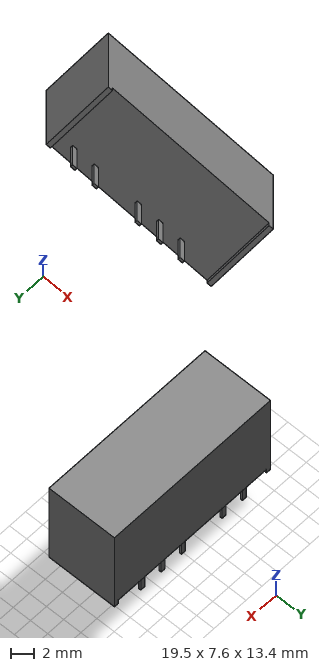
import cadquery as cq

body_length = 19.5
body_width = 7.6
body_height = 10.2
foot_length = 0.5
foot_height = 0.5

pin_pitch = 2.54
pin_slots = (0, 1, 3, 4, 5)
pin_width = 0.5
pin_thickness = 0.25
pin_drop = 3.2
first_pin_from_end = 2.1
pin_row_from_back = 1.2


def make_body():
    """Block with a channel along its underside that leaves a foot at each end."""
    block = cq.Workplane("XY").box(
        body_length, body_width, body_height, centered=(True, True, False)
    )
    channel = cq.Workplane("XY").box(
        body_length - 2 * foot_length, body_width, foot_height, centered=(True, True, False)
    )
    return block.cut(channel)


def make_pins():
    """Pins hanging from the roof of the channel."""
    first_pin_x = first_pin_from_end - body_length / 2
    pin_row_y = body_width / 2 - pin_row_from_back
    centres = [(first_pin_x + slot * pin_pitch, pin_row_y) for slot in pin_slots]
    return (
        cq.Workplane("XY")
        .workplane(offset=-pin_drop)
        .pushPoints(centres)
        .rect(pin_width, pin_thickness)
        .extrude(pin_drop + foot_height)
    )


result = make_body().union(make_pins())